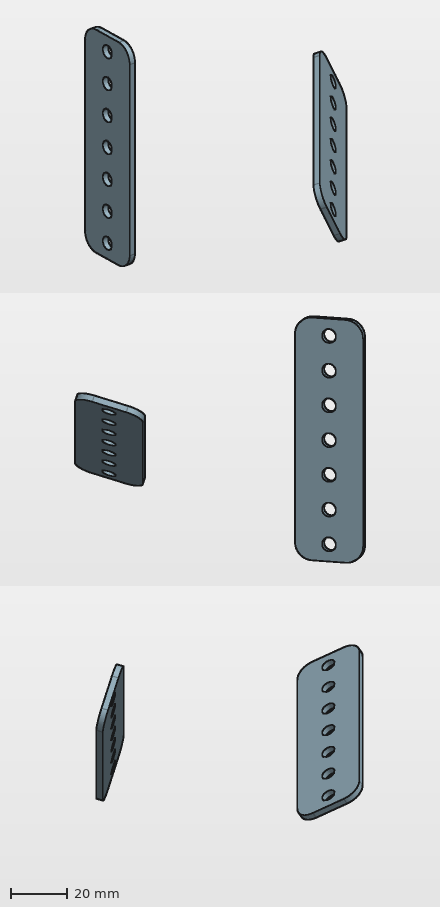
import cadquery as cq

length = 88.65
width = 25.4
thickness = 2.5
corner_radius = 6.4

hole_count = 7
hole_pitch = 12.7
hole_diameter = 5.05

plate = cq.Workplane("XY").box(width, thickness, length)
plate = plate.edges("|Y").fillet(corner_radius)

result = (
    plate.faces("<Y")
    .workplane(centerOption="CenterOfBoundBox")
    .rarray(0.9, hole_pitch, 1, hole_count)
    .hole(hole_diameter)
)